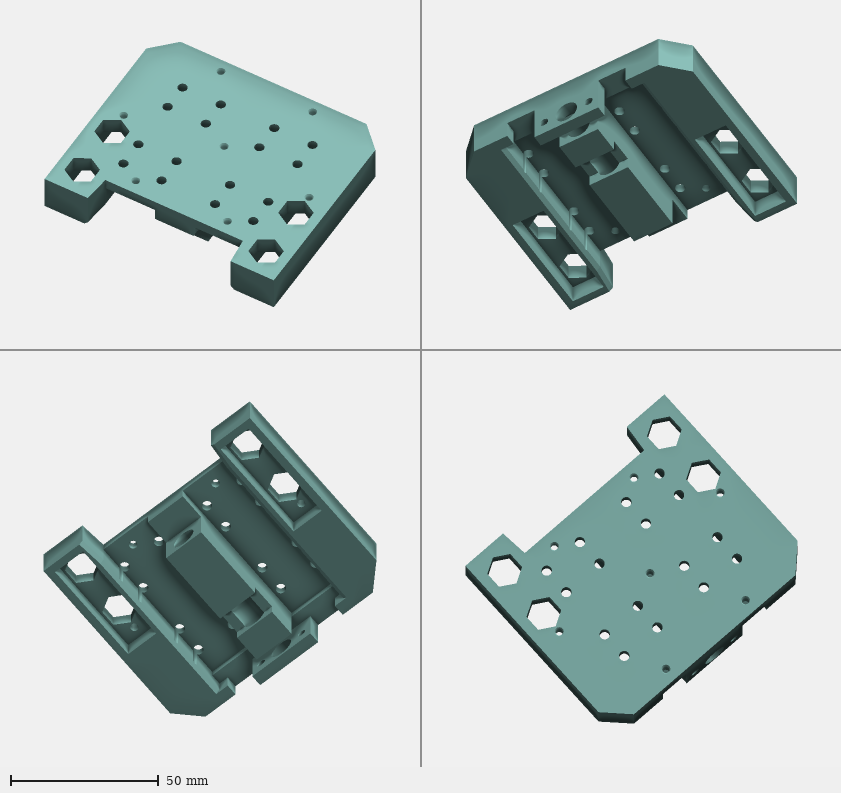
import cadquery as cq
import math

width = 90.0
length = 76.5
height = 21.35
plate_bottom = 7.5
rear_corner_chamfer = 8.5

notch_depth = 10.0
notch_half_width = 28.0
pocket_half_width = 27.0
arm_edge_chamfer = 1.4

lip_thickness = 4.1
rail_roof_thickness = 7.1
pocket_ceiling = height - lip_thickness
rail_ceiling = height - rail_roof_thickness
pocket_rear = 68.4
rear_wall_front = 72.3
beam_half_width = 7.6
rail_inner = 12.65
rail_outer = 23.4

beam_foot_front = 19.85
beam_front_height = 8.7
beam_step_z = height - beam_front_height
relief_front = 48.8
relief_rear = 57.9
relief_top = 4.45

screw_axis_z = 5.55
bore_diameter = 8.5
nut_screw_diameter = 3.2
nut_screw_offset = 8.8

carriage_hole_diameter = 3.5
carriage_x = 18.0
carriage_centers_y = (24.5, 54.1)
carriage_pitch_x = 15.0
carriage_pitch_y = 10.0

hex_across_flats = 10.4
hex_x = 36.1
hex_centers_y = (10.0, 30.0)

arm_pocket_height = 7.5
arm_pocket_half_width = 6.1
arm_pocket_wall = width / 2 - hex_x - arm_pocket_half_width
arm_pocket_rear = 42.0

thread_minor_diameter = 2.53
thread_major_diameter = 3.09
thread_pitch = 0.5
blind_thread_depth = 6.0
pattern_center_y = 43.4
pattern_half_length = 28.5
arm_thread_x = 36.4
arm_thread_y = 38.2


def box(x_range, y_range, z_range):
    """Box between the given (low, high) limits."""
    (x0, x1), (y0, y1), (z0, z1) = x_range, y_range, z_range
    return cq.Workplane("XY").box(x1 - x0, y1 - y0, z1 - z0, centered=False).translate((x0, y0, z0))


def both_sides(shape):
    """The shape together with its mirror image across the YZ plane."""
    return shape.union(shape.mirror("YZ"))


def plate():
    """Solid block with its two rear corners cut off."""
    body = box((-width / 2, width / 2), (0, length), (plate_bottom, height))
    return body.edges("|Z and >Y").chamfer(rear_corner_chamfer)


def arm_gap(front_half_width, rear_half_width, front, rear):
    """Opening between the arms, flaring at the foot to chamfer the arms' lower inside edges."""

    def section(half_width, y):
        foot = half_width + arm_edge_chamfer
        return [
            cq.Vector(-foot, y, plate_bottom),
            cq.Vector(foot, y, plate_bottom),
            cq.Vector(half_width, y, plate_bottom + arm_edge_chamfer),
            cq.Vector(half_width, y, height),
            cq.Vector(-half_width, y, height),
            cq.Vector(-half_width, y, plate_bottom + arm_edge_chamfer),
        ]

    wires = [
        cq.Wire.makePolygon(section(half_width, y), close=True)
        for half_width, y in ((front_half_width, front), (rear_half_width, rear))
    ]
    return cq.Workplane(cq.Solid.makeLoft(wires, True))


def pocket_space():
    """Carriage pockets, the clearance behind them and the rail channels through the rear wall."""
    opening = arm_gap(pocket_half_width, pocket_half_width, notch_depth, rear_wall_front)
    all_x = (-width, width)
    carriage_zone = box(all_x, (notch_depth, pocket_rear), (plate_bottom, pocket_ceiling))
    clearance_zone = box(all_x, (pocket_rear, rear_wall_front), (plate_bottom, rail_ceiling))
    rail = box((rail_inner, rail_outer), (rear_wall_front, length), (plate_bottom, rail_ceiling))
    return opening.intersect(carriage_zone.union(clearance_zone)).union(both_sides(rail))


def central_beam():
    """Beam under the plate with a set-back foot and a relief across its underside."""
    beam_x = (-beam_half_width, beam_half_width)
    upper = box(beam_x, (notch_depth, pocket_rear), (beam_step_z, height))
    foot = box(beam_x, (beam_foot_front, pocket_rear), (0, beam_step_z))
    relief = box(beam_x, (relief_front, relief_rear), (0, relief_top))
    return upper.union(foot).cut(relief)


def nut_wall():
    """Rear wall between the rail channels, to which the leadscrew nut is screwed."""
    return box((-rail_inner, rail_inner), (rear_wall_front, length), (0, rail_ceiling))


def leadscrew_holes():
    """Leadscrew bore through beam and wall, and nut screw holes through the wall only."""

    def hole_along_y(x, front, diameter):
        center = cq.Vector(x, front, screw_axis_z)
        direction = cq.Vector(0, 1, 0)
        return cq.Workplane(cq.Solid.makeCylinder(diameter / 2, length - front, center, direction))

    bore = hole_along_y(0, 0, bore_diameter)
    nut_screw = hole_along_y(nut_screw_offset, rear_wall_front, nut_screw_diameter)
    return bore.union(both_sides(nut_screw))


def carriage_holes():
    """Four screw holes above each of the four carriages."""
    centers = [
        (side * carriage_x + i * carriage_pitch_x / 2, y + j * carriage_pitch_y / 2)
        for side in (-1, 1)
        for y in carriage_centers_y
        for i in (-1, 1)
        for j in (-1, 1)
    ]
    return cq.Workplane("XY").pushPoints(centers).circle(carriage_hole_diameter / 2).extrude(height)


def hex_openings():
    """Hexagons with their corners pointing along Y."""
    across_corners = hex_across_flats / math.cos(math.pi / 6)
    centers = [(side * hex_x, y) for side in (-1, 1) for y in hex_centers_y]
    hexes = cq.Sketch().push(centers).regularPolygon(across_corners / 2, 6)
    return cq.Workplane("XY").placeSketch(hexes).extrude(height)


def arm_pocket():
    """Pocket in the underside of the arm on the +X side."""
    x_range = (hex_x - arm_pocket_half_width, hex_x + arm_pocket_half_width)
    z_range = (plate_bottom, plate_bottom + arm_pocket_height)
    return box(x_range, (arm_pocket_wall, arm_pocket_rear), z_range)


def tapped_hole(x, y, depth):
    """Hole down from the top face whose wall carries V grooves at the thread pitch."""
    minor_radius = thread_minor_diameter / 2
    major_radius = thread_major_diameter / 2
    profile = cq.Workplane("XZ").moveTo(0, 0).lineTo(major_radius, 0)
    for turn in range(int(depth / thread_pitch)):
        groove_z = -turn * thread_pitch
        profile = profile.lineTo(minor_radius, groove_z - thread_pitch / 2)
        profile = profile.lineTo(major_radius, groove_z - thread_pitch)
    floor_z = -depth - thread_pitch / 2
    profile = profile.lineTo(minor_radius, floor_z).lineTo(0, floor_z).close()
    return profile.revolve(360, (0, 0, 0), (0, 1, 0)).translate((x, y, height))


def tapped_holes():
    """Blind holes in the beam and the rear of the plate; through holes in the front lip and the arms."""
    front_y = pattern_center_y - pattern_half_length
    rear_y = pattern_center_y + pattern_half_length
    arm_depth = height - plate_bottom - arm_pocket_height
    holes = [tapped_hole(0, pattern_center_y, blind_thread_depth)]
    for side in (-1, 1):
        holes.append(tapped_hole(side * carriage_x, front_y, lip_thickness))
        holes.append(tapped_hole(side * carriage_x, rear_y, blind_thread_depth))
        holes.append(tapped_hole(side * arm_thread_x, arm_thread_y, arm_depth))
    return holes


result = plate().cut(arm_gap(notch_half_width, pocket_half_width, 0, notch_depth))
result = result.cut(pocket_space()).union(central_beam()).union(nut_wall())
result = result.cut(leadscrew_holes()).cut(carriage_holes())
result = result.cut(hex_openings()).cut(both_sides(arm_pocket()))
for hole in tapped_holes():
    result = result.cut(hole)